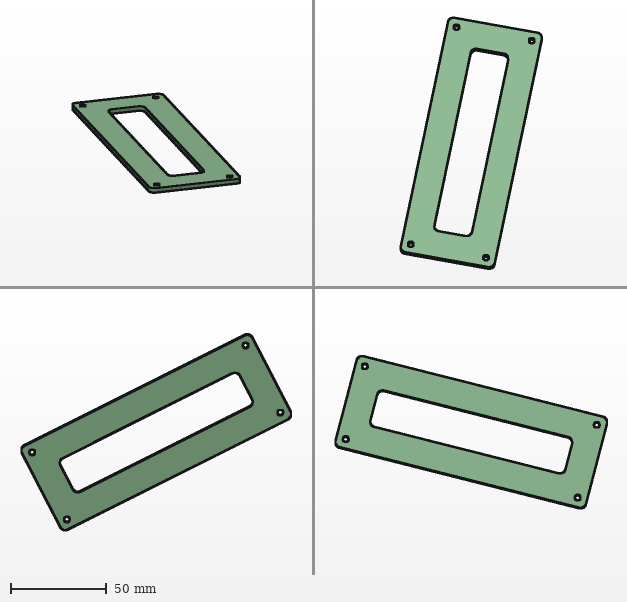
import cadquery as cq

length = 135.0
width = 50.0
thickness = 2.5
corner_radius = 3.0

border = 15.0
window_length = length - 2 * border
window_width = width - 2 * border
window_corner_radius = 3.0

hole_diameter = 3.0
hole_inset = 5.0
hole_spacing_x = length - 2 * hole_inset
hole_spacing_y = width - 2 * hole_inset


def rounded_block(size_x, size_y, radius):
    """Block of plate thickness with rounded vertical edges, standing on Z = 0."""
    block = cq.Workplane("XY").rect(size_x, size_y).extrude(thickness)
    return block.edges("|Z").fillet(radius)


plate = rounded_block(length, width, corner_radius)
window = rounded_block(window_length, window_width, window_corner_radius)
holes = (
    cq.Workplane("XY")
    .rect(hole_spacing_x, hole_spacing_y, forConstruction=True)
    .vertices()
    .circle(hole_diameter / 2)
    .extrude(thickness)
)

result = plate.cut(window).cut(holes)